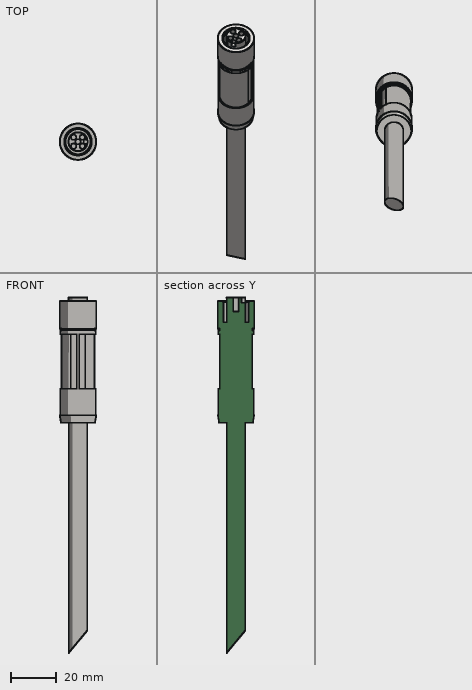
import cadquery as cq
import math

total_length = 155.0
cable_cut_height = 9.9
body_bottom = 100.3
collar_edge = 103.5
grip_bottom = 115.2
grip_top = 138.9
sleeve_top = 140.6
nut_bottom = 141.4
nut_top = 153.5
socket_floor = 144.2

cable_diameter = 8.2
collar_end_diameter = 14.9
body_diameter = 15.7
grip_diameter = 14.5
neck_diameter = 14.5
nut_diameter = 16.0
nut_bore_diameter = 10.8
nut_bore_mouth_diameter = 12.1
insert_diameter = 8.4

nut_chamfer = 0.2
insert_chamfer = 0.2
rib_width = 1.2
rib_groove_span = 6.2
rib_groove_diameter = 14.3
contact_diameter = 2.3
contact_circle_diameter = 5.5
contact_depth = 6.2
key_width = 1.9
key_inner_end = 2.5
key_depth = 2.3


def cylinder(diameter, bottom, top):
    return cq.Workplane("XY").workplane(offset=bottom).circle(diameter / 2).extrude(top - bottom)


def cone(bottom_diameter, top_diameter, bottom, top):
    profile = [(0, bottom), (bottom_diameter / 2, bottom), (top_diameter / 2, top), (0, top)]
    return cq.Workplane("XZ").polyline(profile).close().revolve(360, (0, 0), (0, 1))


def block(width, depth, bottom, top):
    return cq.Workplane("XY").workplane(offset=bottom).rect(width, depth).extrude(top - bottom)


def make_cable():
    """Round cable with its free end cut off at a slant."""
    radius = cable_diameter / 2
    waste = (
        cq.Workplane("XZ")
        .polyline([(-radius, 0), (radius, cable_cut_height), (radius, 0)])
        .close()
        .extrude(radius, both=True)
    )
    return cylinder(cable_diameter, 0, body_bottom).cut(waste)


def make_grip():
    """Waisted grip with a raised rib, set between shallow grooves, on the -Y and +Y sides."""
    grip = cylinder(grip_diameter, grip_bottom, grip_top)
    groove_band = block(rib_groove_span, body_diameter, grip_bottom, grip_top)
    grooves = groove_band.cut(cylinder(rib_groove_diameter, grip_bottom, grip_top))
    rib_band = block(rib_width, body_diameter, grip_bottom, grip_top)
    ribs = cylinder(body_diameter, grip_bottom, grip_top).intersect(rib_band)
    return grip.cut(grooves).union(ribs)


def make_body():
    """Tapered collar, lower sleeve, grip, upper sleeve and the neck under the nut."""
    collar = cone(collar_end_diameter, nut_diameter, body_bottom, collar_edge)
    lower_sleeve = cylinder(body_diameter, collar_edge, grip_bottom)
    upper_sleeve = cylinder(body_diameter, grip_top, sleeve_top)
    neck = cylinder(neck_diameter, sleeve_top, nut_bottom)
    return collar.union(lower_sleeve).union(make_grip()).union(upper_sleeve).union(neck)


def make_nut():
    """Coupling nut with a chamfered top rim and a bore that flares at its mouth."""
    nut = cylinder(nut_diameter, nut_bottom, nut_top)
    nut = nut.faces(">Z").edges().chamfer(nut_chamfer)
    bore = cylinder(nut_bore_diameter, socket_floor, nut_top)
    flare_depth = (nut_bore_mouth_diameter - nut_bore_diameter) / 2
    flare = cone(nut_bore_diameter, nut_bore_mouth_diameter, nut_top - flare_depth, nut_top)
    return nut.cut(bore).cut(flare)


def make_insert():
    """Contact carrier with a centre hole, four holes around it and a keyway on the +X side."""
    insert = cylinder(insert_diameter, socket_floor, total_length)
    insert = insert.faces(">Z").edges().chamfer(insert_chamfer)
    contact_radius = contact_circle_diameter / 2
    centres = [(0, 0)]
    for index in range(4):
        angle = math.radians(45 + 90 * index)
        centres.append((contact_radius * math.cos(angle), contact_radius * math.sin(angle)))
    contacts = (
        cq.Workplane("XY")
        .workplane(offset=total_length - contact_depth)
        .pushPoints(centres)
        .circle(contact_diameter / 2)
        .extrude(contact_depth)
    )
    key_length = insert_diameter / 2 - key_inner_end
    key_centre = key_inner_end + key_length / 2
    keyway = block(key_length, key_width, total_length - key_depth, total_length)
    return insert.cut(contacts).cut(keyway.translate((key_centre, 0, 0)))


result = make_cable().union(make_body()).union(make_nut()).union(make_insert())